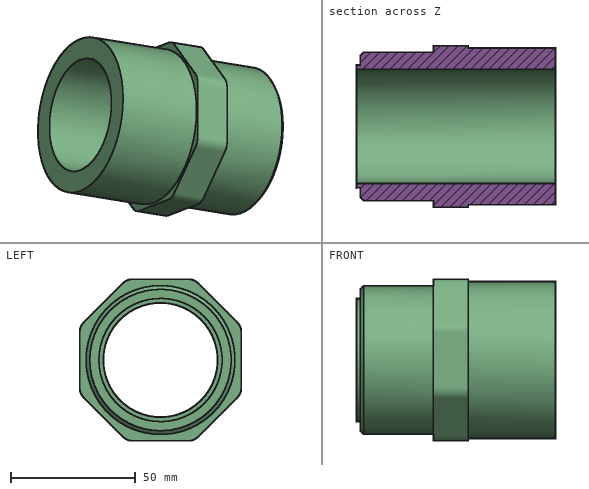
import cadquery as cq
import math

total_length = 80.0
socket_length = 35.0
collar_length = 14.0
lip_length = 1.5
spigot_chamfer = 1.5

lip_diameter = 49.4
spigot_diameter = 59.8
socket_diameter = 63.0
bore_diameter = 45.8

collar_sides = 8
collar_across_flats = 65.0
collar_corner_radius = 5.5

collar_start = total_length - socket_length - collar_length
socket_start = total_length - socket_length


def cylinder(diameter, start, end):
    """Solid cylinder on the X axis between two stations."""
    return cq.Workplane("YZ").workplane(offset=start).circle(diameter / 2).extrude(end - start)


def make_collar():
    """Octagonal wrench collar with flats facing Y and Z and rounded corners."""
    half_sector = math.pi / collar_sides
    across_corners = collar_across_flats / math.cos(half_sector)
    return (
        cq.Workplane("YZ")
        .workplane(offset=collar_start)
        .transformed(rotate=(0, 0, math.degrees(half_sector)))
        .polygon(collar_sides, across_corners)
        .extrude(collar_length)
        .edges("|X")
        .fillet(collar_corner_radius)
    )


lip = cylinder(lip_diameter, 0, lip_length)
spigot = cylinder(spigot_diameter, lip_length, collar_start).faces("<X").chamfer(spigot_chamfer)
socket = cylinder(socket_diameter, socket_start, total_length)
bore = cylinder(bore_diameter, 0, total_length)

result = lip.union(spigot).union(make_collar()).union(socket).cut(bore)